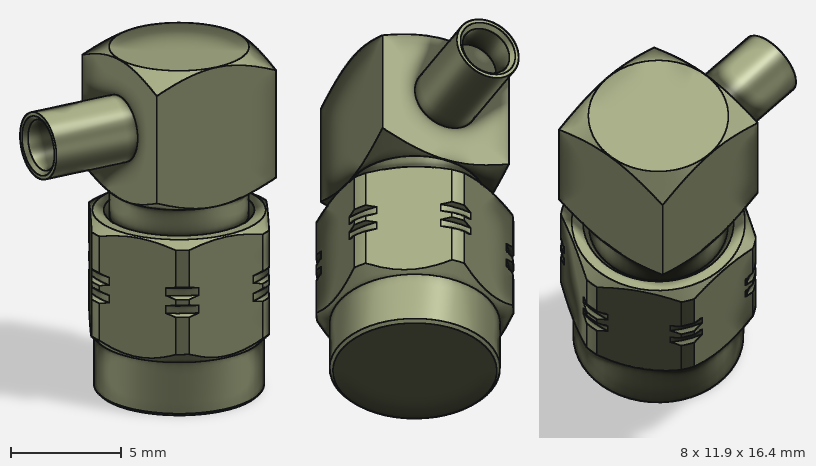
import cadquery as cq
import math

hex_bottom = 2.6
hex_top = 8.52
head_bottom = 9.66
head_top = 16.35
tube_height = 13.05
groove_heights = (5.28, 6.13)

hex_across_flats = 8.0
hex_corner_radius = 4.45
hex_top_face_radius = 3.9
hex_top_bevel_angle = 30.0
barrel_radius = 3.85
barrel_chamfer = 0.15
groove_floor_radius = 4.25
groove_floor_width = 0.36
groove_mouth_width = 0.59
cutter_overshoot = 0.16
countersink_radius = 3.4

head_width = 6.35
head_face_radius = 3.15
head_bevel_angle = 30.0
neck_radius = 3.14
total_depth = 11.94
tube_radius = 1.55
tube_bore_radius = 1.18
tube_bore_depth = 1.57
tube_mouth_radius = 1.37
tube_mouth_depth = 0.2

tube_end = total_depth - hex_corner_radius
tube_length = tube_end - head_width / 2
seat_height = hex_top - (countersink_radius - neck_radius)


def revolve_profile(points):
    """Turn an outline of (radius, height) points about the Z axis."""
    return cq.Workplane("XZ").polyline(points).close().revolve(360, (0, 0), (0, 1))


def bevel_drop(inner_radius, outer_radius, angle):
    """Height lost by a conical bevel that slopes at an angle to the horizontal."""
    return (outer_radius - inner_radius) * math.tan(math.radians(angle))


def make_groove(height):
    """Ring cutter with sloping walls that notches only the corners of the hex."""
    half_floor = groove_floor_width / 2
    slope = (groove_mouth_width - groove_floor_width) / (2 * (hex_corner_radius - groove_floor_radius))
    cutter_radius = hex_corner_radius + cutter_overshoot
    half_outside = half_floor + slope * (cutter_radius - groove_floor_radius)
    return revolve_profile([
        (groove_floor_radius, height - half_floor),
        (cutter_radius, height - half_outside),
        (cutter_radius, height + half_outside),
        (groove_floor_radius, height + half_floor),
    ])


def make_nut():
    """Hex nut with bevelled, grooved corners, a round barrel below and a countersunk seat on top."""
    hexagon = (
        cq.Workplane("XY")
        .workplane(offset=hex_bottom)
        .polygon(6, hex_across_flats / math.cos(math.pi / 6))
        .extrude(hex_top - hex_bottom)
        .rotate((0, 0, 0), (0, 0, 1), 30)
    )
    top_drop = bevel_drop(hex_top_face_radius, hex_corner_radius, hex_top_bevel_angle)
    bottom_rise = hex_corner_radius - barrel_radius
    envelope = revolve_profile([
        (0, hex_bottom),
        (barrel_radius, hex_bottom),
        (hex_corner_radius, hex_bottom + bottom_rise),
        (hex_corner_radius, hex_top - top_drop),
        (hex_top_face_radius, hex_top),
        (0, hex_top),
    ])
    barrel = (
        cq.Workplane("XY")
        .circle(barrel_radius)
        .extrude(hex_bottom)
        .faces("<Z")
        .chamfer(barrel_chamfer)
    )
    countersink = revolve_profile([
        (0, seat_height),
        (neck_radius, seat_height),
        (countersink_radius, hex_top),
        (0, hex_top),
    ])
    nut = hexagon.intersect(envelope).union(barrel).cut(countersink)
    for height in groove_heights:
        nut = nut.cut(make_groove(height))
    return nut


def make_head():
    """Square block whose top and bottom corners are turned off by cones."""
    block = (
        cq.Workplane("XY")
        .workplane(offset=head_bottom)
        .rect(head_width, head_width)
        .extrude(head_top - head_bottom)
    )
    corner_radius = head_width / math.sqrt(2)
    drop = bevel_drop(head_face_radius, corner_radius, head_bevel_angle)
    envelope = revolve_profile([
        (0, head_bottom),
        (head_face_radius, head_bottom),
        (corner_radius, head_bottom + drop),
        (corner_radius, head_top - drop),
        (head_face_radius, head_top),
        (0, head_top),
    ])
    return block.intersect(envelope)


def make_elbow():
    """Head on a round neck that stands in the nut's seat, with a blind-bored tube towards -Y."""
    neck = (
        cq.Workplane("XY")
        .workplane(offset=seat_height)
        .circle(neck_radius)
        .extrude(head_bottom - seat_height)
    )
    tube_end_plane = cq.Workplane("XZ", origin=(0, -tube_end, tube_height))
    tube = tube_end_plane.circle(tube_radius).extrude(-tube_length)
    bore = tube_end_plane.circle(tube_bore_radius).extrude(-tube_bore_depth)
    mouth = (
        tube_end_plane
        .circle(tube_mouth_radius)
        .workplane(offset=-tube_mouth_depth)
        .circle(tube_bore_radius)
        .loft()
    )
    return make_head().union(neck).union(tube).cut(bore).cut(mouth)


nut = make_nut()
elbow = make_elbow()

result = cq.Compound.makeCompound([nut.solids().val(), elbow.solids().val()])